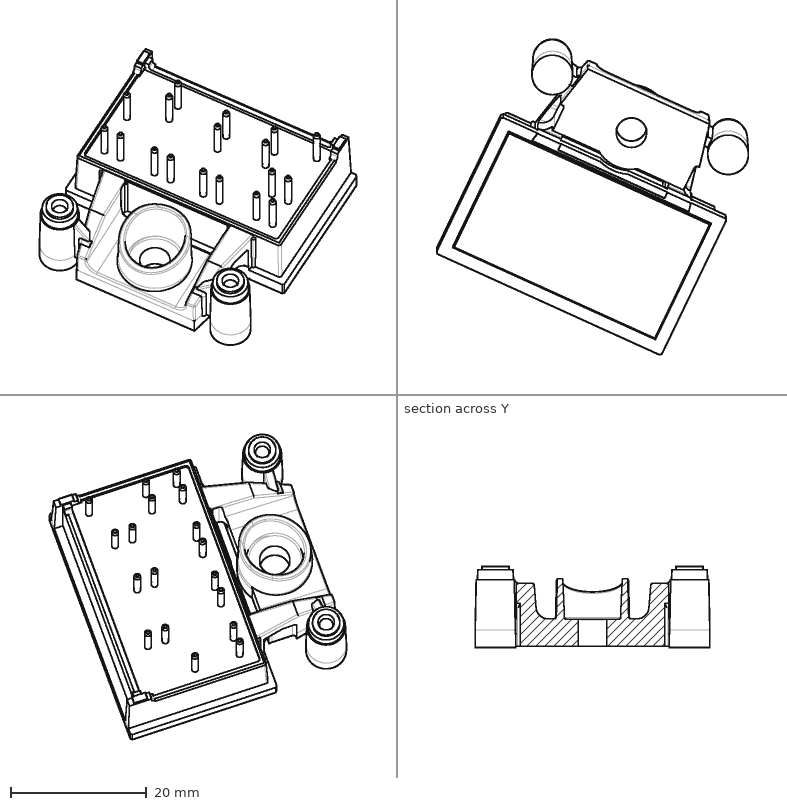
import cadquery as cq
import math


overlap = 0.35

plate_width = 36.6
plate_front = 12.0
plate_back = 34.85
plate_bottom = 0.4
plate_top = 2.65
plate_corner = 0.25
pad_width = 32.95
pad_front = 13.55
pad_back = 32.95
pad_chamfer = 0.2

housing_half = 17.25
housing_front = 13.0
housing_draft = 1.7
housing_edge = 0.35
rim_top = 10.35
rim_chamfer = 0.3
back_rim_chamfer = 0.45
recess_half = 16.2
recess_front = 13.9
recess_back = 32.28
recess_corner = 0.5
recess_floor = 9.75
back_wall_outer = 33.5

tower_top = 11.5
tower_inner = 15.9
tower_front = 31.1
tower_wing_end = 15.2
tower_blend = 0.5
cap_top = 11.95
cap_outer = 16.9
cap_front = 31.75
cap_back = 33.82

foot_bottom = 0.2
foot_back = 10.65
foot_corner = 1.1
floor_front = 3.88
floor_back = 4.5
floor_edge_round = 0.25
channel_half = 8.65
channel_floor_half = 8.13
channel_fillet = 1.72
arm_half_front = 9.9
arm_half_back = 12.75
arm_draft = 1.0
arm_top_back = 9.95
arm_knee_y = 6.25
arm_knee_z = 9.45
arm_tip_z = 6.0
arm_edge_round = 0.3
arm_root_blend = 0.3
arm_root_top = 9.5
arm_gap_top = 3.33

arch_front = 6.55
arch_top = 7.7
arch_spring_z = 6.4
arch_top_front = 8.95
arch_front_radius = 1.1
arch_front_blend = 0.45
arch_back_radius = 0.45
arch_web_x = 10.6
arch_corner = 1.8

boss_y = 6.05
boss_base_radius = 5.55
boss_low_radius = 5.4
boss_flare_bottom = 4.1
boss_flare_top = 4.6
boss_top_radius = 5.3
boss_top = 11.05
boss_slope = 20.0
boss_slope_start = 9.22
boss_slope_blend = 7.32
boss_rim_round = 0.22
rim_edge_min_z = 8.8
bore_top_radius = 4.45
bore_low_radius = 4.17
bore_floor = 4.2
bore_floor_fillet = 0.3
screw_hole_radius = 2.25
boss_clearance_radius = 6.37

post_x = 14.27
post_radius = 3.0
post_y = post_radius
post_drum_radius = 2.85
post_shoulder_z = 10.0
post_neck_radius = 2.67
post_face_radius = 2.6
post_face_z = tower_top
post_cap_radius = 2.0
post_cap_z = cap_top
post_hole_radius = 1.2
post_hole_end_radius = 1.0
post_hole_depth = 1.17
tie_width = 1.45
tie_bottom = 2.05
tie_high_x = 11.53
tie_high_z = 9.95
tie_low_x = 8.6
tie_low_z = 7.03
tie_arm_x = 10.65
tie_flare_top = 7.4
tie_flare_round = 0.45
tie_blend = 0.6
tie_edge_round = 0.22

pin_radius = 0.495
pin_cone_z = 15.35
pin_nub_z = 15.65
pin_top = 15.9
pin_nub_radius = 0.238
pin_pair = 2.7
pin_front_row = 16.4
pin_left = -14.05
pin_right = 14.1
pin_front_left = -5.67
pin_front_right = 2.5
pin_right_row = 21.2
pin_left_spot = (pin_left, 23.35)
pin_corner_spot = (pin_right, 30.05)
pin_column_starts = [(-8.4, 26.02), (0.45, 24.6), (8.05, 25.4)]


def block(x0, x1, y0, y1, z0, z1):
    """Axis-aligned block between two opposite corners."""
    return cq.Workplane("XY").box(x1 - x0, y1 - y0, z1 - z0, centered=False).translate((x0, y0, z0))


def side_profile(sketch_plane, half_width):
    """Extrude a closed YZ outline symmetrically about X = 0."""
    return sketch_plane.close().extrude(half_width, both=True)


def edges_within(body, half_width, front, back, low, high):
    """Edges whose centres lie in a block that is symmetric about X = 0."""
    selector = cq.selectors.BoxSelector((-half_width, front, low), (half_width, back, high))
    return body.edges(selector)


def both_sides(body):
    """The body together with its mirror image across X = 0."""
    return body.union(body.mirror("YZ"))


def make_plate():
    plate = block(-plate_width / 2, plate_width / 2, plate_front, plate_back, plate_bottom, plate_top)
    plate = plate.edges("|Z").chamfer(plate_corner)
    clearance = cq.Workplane("XY").center(0, boss_y).circle(boss_clearance_radius).extrude(plate_top)
    pad = block(-pad_width / 2, pad_width / 2, pad_front, pad_back, 0, plate_bottom)
    pad = pad.faces("<Z").edges().chamfer(pad_chamfer)
    return plate.cut(clearance).union(pad)


def drafted_block(top):
    """Housing block tapering from the plate up to the given height."""
    depth = plate_back - housing_front
    middle = housing_front + depth / 2
    body = cq.Workplane("XY", origin=(0, middle, plate_top)).rect(2 * housing_half, depth)
    body = body.extrude(top - plate_top, taper=housing_draft)
    return body.edges("not(#Z)").edges("<Y").fillet(housing_edge)


def make_towers():
    """T-shaped corner towers that run down into the rim through concave blends."""
    r = tower_blend
    root = rim_top - rim_chamfer
    side_leg = (
        cq.Workplane("YZ", origin=(tower_inner, 0, 0))
        .moveTo(plate_back, root)
        .lineTo(plate_back, tower_top)
        .lineTo(tower_front, tower_top)
        .lineTo(tower_front, rim_top + r)
        .radiusArc((tower_front - r, rim_top), r)
        .lineTo(tower_front - r, root)
        .close()
        .extrude(housing_half - tower_inner)
        .intersect(drafted_block(tower_top))
    )
    rear_wing = (
        cq.Workplane("XZ", origin=(0, back_wall_outer, 0))
        .moveTo(tower_inner, root)
        .lineTo(tower_inner, tower_top)
        .lineTo(tower_wing_end, tower_top)
        .lineTo(tower_wing_end, rim_top + r)
        .radiusArc((tower_wing_end - r, rim_top), r)
        .lineTo(tower_wing_end - r, root)
        .close()
        .extrude(back_wall_outer - recess_back)
    )
    cap = block(tower_inner, cap_outer, cap_front, cap_back, tower_top, cap_top)
    return both_sides(side_leg.union(rear_wing).union(cap))


def make_housing():
    rim = drafted_block(rim_top).faces(">Z").edges().chamfer(rim_chamfer)
    behind_back_wall = side_profile(
        cq.Workplane("YZ")
        .moveTo(plate_back, plate_top)
        .lineTo(back_wall_outer, plate_top)
        .lineTo(back_wall_outer, rim_top - back_rim_chamfer)
        .lineTo(back_wall_outer - back_rim_chamfer, rim_top)
        .lineTo(plate_back, rim_top),
        tower_inner,
    )
    recess = block(-recess_half, recess_half, recess_front, recess_back, recess_floor, rim_top)
    recess = recess.edges("|Z").fillet(recess_corner)
    return rim.cut(behind_back_wall).cut(recess).union(make_towers())


def make_arch_recess():
    """Arched pocket on the +X side, closed at the back by a vertical concave corner."""
    reach = arm_half_back + overlap
    arch = (
        cq.Workplane("YZ", origin=(arch_web_x, 0, 0))
        .moveTo(plate_front, 0)
        .lineTo(arch_front, 0)
        .lineTo(arch_front, arch_spring_z)
        .lineTo(arch_top_front, arch_top)
        .lineTo(plate_front, arch_top)
        .close()
        .extrude(reach - arch_web_x)
    )
    arch = arch.edges("|X").edges(">(0, 1, 1)").fillet(arch_back_radius)
    shoulders = cq.selectors.BoxSelector(
        (arch_web_x, arch_front - overlap, arch_spring_z - overlap),
        (reach, arch_top_front + overlap, arch_top + overlap),
    )
    arch = arch.edges("|X").edges(shoulders).fillet(arch_front_radius)
    rounded_corner = block(arch_web_x, reach, arch_front, plate_front, 0, arch_top)
    rounded_corner = rounded_corner.edges("|Z and <X and >Y").fillet(arch_corner)
    rounded_corner = rounded_corner.edges("|Z and <X and <Y").fillet(arch_front_blend)
    return arch.intersect(rounded_corner)


def make_foot():
    outline = [
        (-arm_half_front, 0),
        (arm_half_front, 0),
        (arm_half_back, housing_front + overlap),
        (-arm_half_back, housing_front + overlap),
    ]
    foot = cq.Workplane("XY").polyline(outline).close().extrude(plate_top)
    upper = cq.Workplane("XY", origin=(0, 0, plate_top)).polyline(outline).close()
    upper = upper.extrude(arm_top_back - plate_top, taper=arm_draft)
    foot = foot.union(upper.edges("not(#Z)").edges("<Y").fillet(arm_edge_round))
    arm_side = side_profile(
        cq.Workplane("YZ")
        .moveTo(0, foot_bottom)
        .lineTo(0, arm_tip_z)
        .lineTo(arm_knee_y, arm_knee_z)
        .lineTo(housing_front + overlap, arm_top_back)
        .lineTo(housing_front + overlap, foot_bottom),
        plate_width / 2,
    )
    foot = foot.intersect(arm_side)

    floor_slope = math.degrees(math.atan2(floor_back - floor_front, foot_back))
    channel = (
        cq.Workplane("XZ", origin=(0, -foot_back, 0))
        .moveTo(-channel_floor_half, 0)
        .lineTo(channel_floor_half, 0)
        .lineTo(channel_half, arm_top_back - floor_front)
        .lineTo(-channel_half, arm_top_back - floor_front)
        .close()
        .extrude(-3 * foot_back)
    )
    channel = channel.edges("|Y and <Z").fillet(channel_fillet)
    channel = channel.rotate((0, 0, 0), (1, 0, 0), floor_slope).translate((0, 0, floor_front))
    channel = channel.intersect(block(-channel_half, channel_half, 0, housing_front, 0, post_cap_z))
    foot = foot.cut(channel)

    arm_tops = edges_within(foot, arm_half_back, overlap, foot_back, arm_tip_z, arm_top_back)
    foot = arm_tops.edges("not |X").fillet(arm_edge_round)
    lowest = floor_front - overlap
    highest = arm_tip_z - overlap
    front_edge = edges_within(foot, channel_half, -overlap, overlap, lowest, highest)
    foot = front_edge.fillet(floor_edge_round)

    gap = block(-channel_half, channel_half, foot_back, housing_front, 0, arm_top_back)
    gap = gap.edges("|Z and <Y").fillet(foot_corner)
    under_arms = block(-plate_width / 2, plate_width / 2, foot_back, plate_front, 0, arm_gap_top)
    under_arms = under_arms.edges("|X and >Z and <Y").fillet(foot_corner)
    return foot.cut(gap).cut(under_arms).cut(both_sides(make_arch_recess()))


def make_arm_root(x, outward):
    """Small upright blend between one side of an arm and the housing front."""
    r = arm_root_blend
    embed = 2 * r
    return (
        cq.Workplane("XY", origin=(x, housing_front, plate_top))
        .moveTo(-outward * embed, r)
        .lineTo(-outward * embed, -r)
        .lineTo(0, -r)
        .radiusArc((outward * r, 0), outward * -r)
        .lineTo(outward * r, r)
        .close()
        .extrude(arm_root_top - plate_top)
    )


def make_boss_bore():
    """Screw hole with a wide, slightly tapered bore above it."""
    bore = cq.Workplane("XY").workplane(offset=bore_floor).circle(bore_low_radius)
    bore = bore.workplane(offset=boss_top - bore_floor).circle(bore_top_radius).loft()
    bore = bore.faces("<Z").edges().fillet(bore_floor_fillet)
    screw_hole = cq.Workplane("XY").circle(screw_hole_radius).extrude(boss_top)
    return bore.union(screw_hole).translate((0, boss_y, 0))


def make_boss():
    """Round boss flaring towards its base, bored, and cut by a plane that falls to the front."""
    boss = (
        cq.Workplane("XZ", origin=(0, boss_y, 0))
        .moveTo(0, foot_bottom)
        .lineTo(boss_base_radius, foot_bottom)
        .lineTo(boss_base_radius, boss_flare_bottom)
        .lineTo(boss_low_radius, boss_flare_top)
        .lineTo(boss_top_radius, boss_top)
        .lineTo(0, boss_top)
        .close()
        .revolve(360, (0, 0, 0), (0, 1, 0))
    )
    slope = math.radians(boss_slope)
    front_z = boss_top - math.tan(slope) * boss_slope_start
    blend_reach = boss_slope_blend * math.tan(slope / 2)
    blend_end_y = boss_slope_start - blend_reach * math.cos(slope)
    blend_end_z = boss_top - blend_reach * math.sin(slope)
    above_rim = side_profile(
        cq.Workplane("YZ")
        .moveTo(0, front_z)
        .lineTo(blend_end_y, blend_end_z)
        .radiusArc((boss_slope_start + blend_reach, boss_top), boss_slope_blend)
        .lineTo(plate_front, boss_top)
        .lineTo(plate_front, boss_top + overlap)
        .lineTo(0, boss_top + overlap),
        boss_base_radius,
    )
    boss = boss.cut(make_boss_bore()).cut(above_rim)
    rim_edges = edges_within(boss, boss_base_radius, 0, plate_front, rim_edge_min_z, cap_top)
    return rim_edges.edges("not %LINE").fillet(boss_rim_round)


def make_post():
    """Mounting post on the +X side with a stepped top and a blind hole."""
    hole_floor = post_cap_z - post_hole_depth
    outline = [
        (0, 0),
        (post_radius, 0),
        (post_radius, plate_top),
        (post_drum_radius, post_shoulder_z),
        (post_neck_radius, post_shoulder_z),
        (post_face_radius, post_face_z),
        (post_cap_radius, post_face_z),
        (post_cap_radius, post_cap_z),
        (post_hole_radius, post_cap_z),
        (post_hole_end_radius, hole_floor),
        (0, hole_floor),
    ]
    post = cq.Workplane("XZ").polyline(outline).close().revolve(360, (0, 0, 0), (0, 1, 0))
    return post.translate((post_x, post_y, 0))


def make_tie_wall():
    """Upright wall between a post and its arm, flared at the arm, with a top that falls to the arm."""
    half = tie_width / 2
    flare = half + tie_blend
    wall = (
        cq.Workplane("XZ", origin=(0, post_y + half, 0))
        .moveTo(post_x, tie_bottom)
        .lineTo(post_x, tie_high_z)
        .lineTo(tie_high_x, tie_high_z)
        .lineTo(tie_low_x, tie_low_z)
        .lineTo(tie_low_x, tie_bottom)
        .close()
        .extrude(tie_width)
    )
    wall = wall.edges("not(#Z or |Y)").edges("not |Z").fillet(tie_edge_round)
    arm_flare = (
        cq.Workplane("XY", origin=(0, post_y, tie_bottom))
        .moveTo(tie_low_x, -flare)
        .lineTo(tie_arm_x - tie_blend, -flare)
        .radiusArc((tie_arm_x, -half), -tie_blend)
        .lineTo(tie_arm_x, half)
        .radiusArc((tie_arm_x - tie_blend, flare), -tie_blend)
        .lineTo(tie_low_x, flare)
        .close()
        .extrude(tie_flare_top - tie_bottom)
    )
    arm_flare = arm_flare.edges(">Z and >X").fillet(tie_flare_round)
    return wall.union(arm_flare)


def make_pin(x, y):
    outline = [
        (0, plate_top),
        (pin_radius, plate_top),
        (pin_radius, pin_cone_z),
        (pin_nub_radius, pin_nub_z),
        (pin_nub_radius, pin_top),
        (0, pin_top),
    ]
    pin = cq.Workplane("XZ").polyline(outline).close().revolve(360, (0, 0, 0), (0, 1, 0))
    return pin.translate((x, y, 0))


def pin_positions():
    """Two single pins, pairs spaced along X, and pairs spaced along Y."""
    spots = [pin_left_spot, pin_corner_spot]
    front_starts = (pin_left, pin_front_left, pin_front_right, pin_right - pin_pair)
    pair_starts = [(x, pin_front_row) for x in front_starts]
    pair_starts.append((pin_right - pin_pair, pin_right_row))
    for x, y in pair_starts:
        spots += [(x, y), (x + pin_pair, y)]
    for x, y in pin_column_starts:
        spots += [(x, y), (x, y + pin_pair)]
    return spots


result = make_plate().union(make_housing()).union(make_foot().cut(make_boss_bore()))
result = result.union(make_boss())
for root_x, outward in ((channel_half, -1), (arm_half_back, 1)):
    result = result.union(both_sides(make_arm_root(root_x, outward)))
result = result.union(both_sides(make_post().union(make_tie_wall())))
for pin_x, pin_y in pin_positions():
    result = result.union(make_pin(pin_x, pin_y))